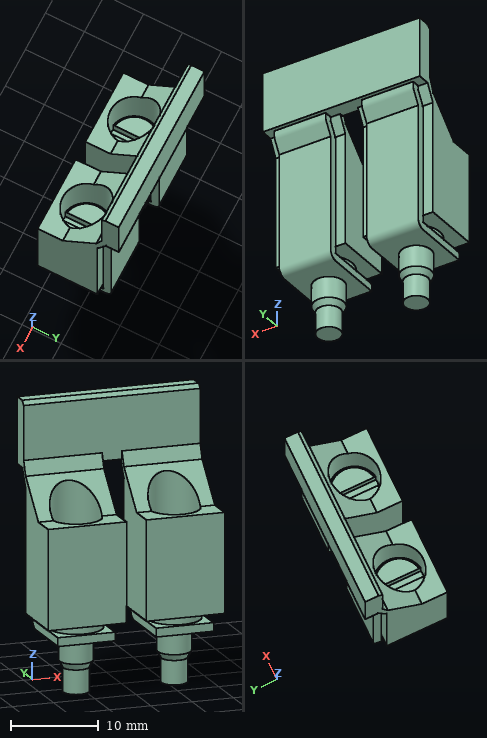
import cadquery as cq
import math


total_width = 21.4
total_depth = 10.43
connector_height = 25.0

bar_thickness = 2.2
bar_height = 8.0
bar_chamfer = 0.5
bar_bottom = connector_height - bar_height

block_width = 9.5
block_height = 12.0
block_back_y = -2.75
neck_front_top_z = 18.0
neck_front_low_y = -2.87
neck_front_low_z = 16.3
neck_back_top_y = -1.65
neck_back_low_z = 14.9
ramp_drop = neck_front_low_z - block_height
ramp_front_y = neck_front_low_y - ramp_drop
block_pitch = total_width - block_width
block_centres = [-block_pitch / 2, block_pitch / 2]

sheet = 1.05
bracket_width = 7.0
bracket_back_y = -1.6
bracket_front_y = -10.2
bracket_top_bend_z = 16.45
bend_angle = math.radians(30)
foot_gap = 1.0
foot_top = -foot_gap
foot_bottom = foot_top - sheet

screw_y = -6.6
head_diameter = 6.0
head_chamfer = 0.2
head_top = block_height / 2
slot_width = 1.05
slot_depth = 1.5
collar_diameter = 6.3
shank_diameter = 4.0
shank_end = -4.87
tip_diameter = 3.1
tip_start = -5.68
tip_end = -8.6


def make_bar():
    return (
        cq.Workplane("YZ")
        .moveTo(0, bar_bottom)
        .lineTo(0, connector_height)
        .lineTo(bar_chamfer - bar_thickness, connector_height)
        .lineTo(-bar_thickness, connector_height - bar_chamfer)
        .lineTo(-bar_thickness, bar_bottom)
        .close()
        .extrude(total_width / 2, both=True)
    )


def make_block(centre_x):
    """Block with its ramp and the neck that joins it to the bar."""
    return (
        cq.Workplane("YZ", origin=(centre_x, 0, 0))
        .moveTo(block_back_y, 0)
        .lineTo(block_back_y, neck_back_low_z)
        .lineTo(neck_back_top_y, bar_bottom)
        .lineTo(neck_back_top_y, neck_front_top_z)
        .lineTo(-bar_thickness, neck_front_top_z)
        .lineTo(neck_front_low_y, neck_front_low_z)
        .lineTo(ramp_front_y, block_height)
        .lineTo(-total_depth, block_height)
        .lineTo(-total_depth, 0)
        .close()
        .extrude(block_width / 2, both=True)
    )


def make_bracket(centre_x):
    """Joggled strip hanging from the bar, bent forward under the block as a foot."""
    pivot_y = bracket_back_y
    upper_z = bracket_top_bend_z
    slant_length = sheet / math.tan(bend_angle)
    lower_z = upper_z - sheet * math.sin(bend_angle) - slant_length * math.cos(bend_angle)

    def around(z, side, angle):
        """Point one sheet thickness from a bend edge, behind (+1) or in front (-1) of it."""
        return (
            pivot_y + side * sheet * math.cos(angle),
            z - side * sheet * math.sin(angle),
        )

    corner_y = bracket_back_y - sheet
    corner_mid = sheet * math.sqrt(0.5)
    return (
        cq.Workplane("YZ", origin=(centre_x, 0, 0))
        .moveTo(pivot_y, bar_bottom)
        .lineTo(pivot_y + sheet, bar_bottom)
        .lineTo(*around(upper_z, 1, 0))
        .threePointArc(around(upper_z, 1, bend_angle / 2), around(upper_z, 1, bend_angle))
        .lineTo(pivot_y, lower_z)
        .lineTo(bracket_back_y, foot_top)
        .threePointArc((corner_y + corner_mid, foot_top - corner_mid), (corner_y, foot_bottom))
        .lineTo(bracket_front_y, foot_bottom)
        .lineTo(bracket_front_y, foot_top)
        .lineTo(corner_y, foot_top)
        .lineTo(*around(lower_z, -1, 0))
        .threePointArc(around(lower_z, -1, bend_angle / 2), around(lower_z, -1, bend_angle))
        .lineTo(pivot_y, upper_z)
        .close()
        .extrude(bracket_width / 2, both=True)
    )


def make_bore(centre_x, diameter, bottom, top):
    return (
        cq.Workplane("XY", origin=(centre_x, screw_y, bottom))
        .circle(diameter / 2)
        .extrude(top - bottom)
    )


def make_connector():
    connector = make_bar()
    for centre_x in block_centres:
        connector = connector.union(make_block(centre_x))
        connector = connector.union(make_bracket(centre_x))
    for centre_x in block_centres:
        connector = connector.cut(make_bore(centre_x, head_diameter, 0, connector_height))
        connector = connector.cut(make_bore(centre_x, shank_diameter, foot_bottom, foot_top))
    return connector


def make_screw(centre_x):
    """Slotted screw whose collar fills the space between block and bracket foot."""
    head_radius = head_diameter / 2
    screw = (
        cq.Workplane("XZ", origin=(centre_x, screw_y, 0))
        .moveTo(0, head_top)
        .lineTo(head_radius - head_chamfer, head_top)
        .lineTo(head_radius, head_top - head_chamfer)
        .lineTo(head_radius, 0)
        .lineTo(collar_diameter / 2, 0)
        .lineTo(collar_diameter / 2, foot_top)
        .lineTo(shank_diameter / 2, foot_top)
        .lineTo(shank_diameter / 2, shank_end)
        .lineTo(tip_diameter / 2, tip_start)
        .lineTo(tip_diameter / 2, tip_end)
        .lineTo(0, tip_end)
        .close()
        .revolve(360, (0, 0), (0, 1))
    )
    slot = (
        cq.Workplane("XY", origin=(centre_x, screw_y, head_top - slot_depth))
        .rect(slot_width, head_diameter)
        .extrude(slot_depth)
    )
    return screw.cut(slot)


connector = make_connector()
screws = [make_screw(centre_x) for centre_x in block_centres]

result = cq.Compound.makeCompound([connector.val(), *[screw.val() for screw in screws]])